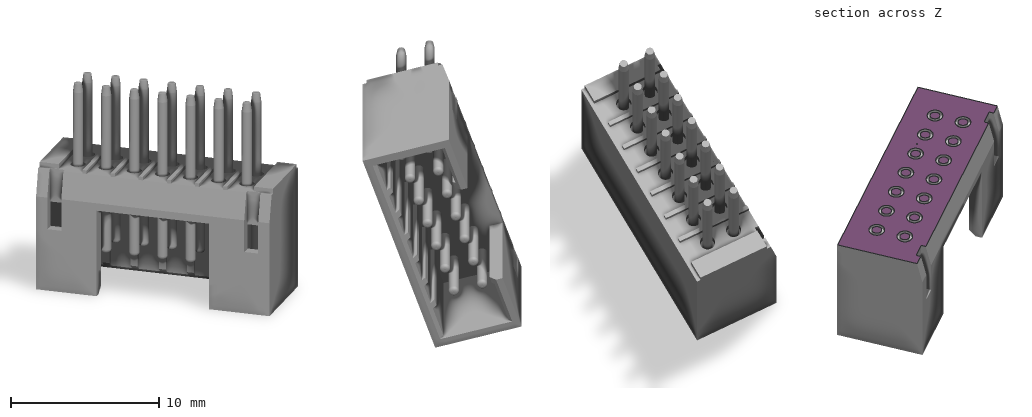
import cadquery as cq

length = 16.6
width = 6.1
body_height = 8.55
bevel_depth = 0.45
bevel_start_height = 6.69

window_width = 8.0
pitch = window_width / 4
columns = 7
row_centre_y = 3.07
row_ys = (row_centre_y - pitch / 2, row_centre_y + pitch / 2)

pin_radius = 0.35
pin_bottom = 2.45
pin_top = 14.4
pin_tip_length = 0.6
pin_tip_radius = 0.27
pin_end_rounding = 0.25
pin_recess_radius = 0.51
pin_recess_depth = 0.5

cavity_roof = 6.16
end_wall = 0.6
front_wall = 0.71
back_wall = 0.78
mouth_height = 0.25

guide_width = 0.5
back_guide_depth = 0.27
front_guide_depth = 0.2
front_guide_inner_x = 3.98

slot_width = 1.0
slot_bottom = 4.42
slot_centre_x = 3.5 * pitch

pad_length = 1.36
pad_height = 0.35
pad_front_y = 0.76
pad_back_y = 5.83
top_rib_width = 0.3
top_rib_height = 0.25
top_rib_back_y = 5.73


def block(x_centre, x_size, y_start, y_end, z_start, z_end):
    """Axis-aligned box centred on x_centre, with Y and Z given as ranges."""
    return (
        cq.Workplane("XY")
        .box(x_size, y_end - y_start, z_end - z_start, centered=(True, False, False))
        .translate((x_centre, y_start, z_start))
    )


def profile_along_x(points, x_centre, x_size):
    """Extrude a (Y, Z) outline along X, centred on x_centre."""
    return (
        cq.Workplane("YZ")
        .polyline(points)
        .close()
        .extrude(x_size / 2, both=True)
        .translate((x_centre, 0, 0))
    )


def make_body():
    outline = [
        (0, 0),
        (width, 0),
        (width, body_height),
        (bevel_depth, body_height),
        (0, bevel_start_height),
    ]
    return profile_along_x(outline, 0, length)


def make_cavity():
    front = front_wall
    back = width - back_wall
    outline = [
        (front - mouth_height, 0),
        (back + mouth_height, 0),
        (back, mouth_height),
        (back, cavity_roof),
        (front, cavity_roof),
        (front, mouth_height),
    ]
    return profile_along_x(outline, 0, length - 2 * end_wall)


def make_guide(x_centre, wall_y, depth):
    """Rib standing out from a cavity wall by a signed Y depth; its foot continues the 45 degree flare."""
    face_y = wall_y + depth
    foot_height = mouth_height + abs(depth)
    outline = [
        (wall_y, mouth_height),
        (face_y, foot_height),
        (face_y, cavity_roof),
        (wall_y, cavity_roof),
    ]
    return profile_along_x(outline, x_centre, guide_width)


def make_pin():
    tip_start = pin_top - pin_tip_length
    shank = (
        cq.Workplane("XY")
        .workplane(offset=pin_bottom)
        .circle(pin_radius)
        .extrude(tip_start - pin_bottom)
        .faces("<Z")
        .edges()
        .fillet(pin_end_rounding)
    )
    tip = cq.Workplane(
        cq.Solid.makeCone(pin_radius, pin_tip_radius, pin_tip_length, pnt=cq.Vector(0, 0, tip_start))
    )
    return shank.union(tip)


column_xs = [pitch * (i - (columns - 1) / 2) for i in range(columns)]
gap_xs = [x + pitch / 2 for x in column_xs[:-1]]

result = make_body().cut(make_cavity())

result = result.cut(block(0, window_width, 0, front_wall, 0, cavity_roof))
for side in (-1, 1):
    result = result.cut(block(side * slot_centre_x, slot_width, 0, front_wall, slot_bottom, body_height))

for x in gap_xs:
    result = result.union(make_guide(x, width - back_wall, -back_guide_depth))
for side in (-1, 1):
    guide_x = side * (front_guide_inner_x + guide_width / 2)
    result = result.union(make_guide(guide_x, front_wall, front_guide_depth))

for side in (-1, 1):
    pad_x = side * (length - pad_length) / 2
    result = result.union(
        block(pad_x, pad_length, pad_front_y, pad_back_y, body_height, body_height + pad_height)
    )
for x in gap_xs:
    result = result.union(
        block(x, top_rib_width, bevel_depth, top_rib_back_y, body_height, body_height + top_rib_height)
    )

pin_spots = [(x, y) for x in column_xs for y in row_ys]
recess = cq.Workplane("XY").workplane(offset=body_height - pin_recess_depth)
result = result.cut(recess.pushPoints(pin_spots).circle(pin_recess_radius).extrude(pin_recess_depth))
pin = make_pin()
for x, y in pin_spots:
    result = result.union(pin.translate((x, y, 0)))